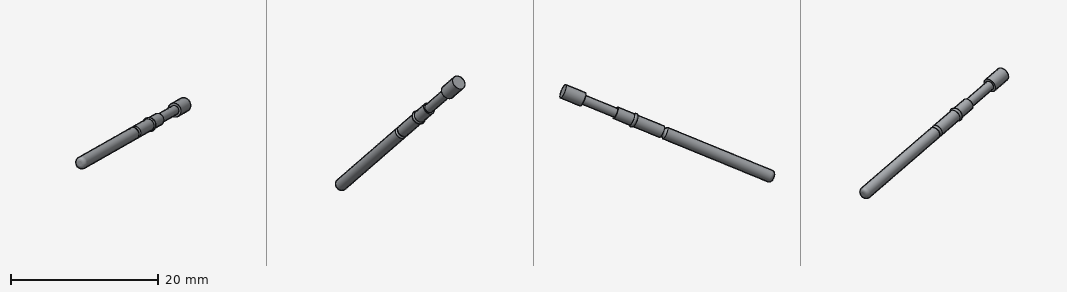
import cadquery as cq


total_length = 32.0
head_end = total_length / 2
tail_end = -total_length / 2

head_diameter = 2.0
head_length = 3.0
plunger_diameter = 1.3
plunger_length = 5.0

barrel_diameter = 1.7
barrel_end = head_end - head_length - plunger_length
tail_radius = 0.48

ring_diameter = head_diameter
ring_width = 0.5
ring_center = barrel_end - 2.75

groove_width = 0.5
groove_depth = 0.2
groove_center = ring_center - 4.55


def cylinder(diameter, start, end):
    """Solid cylinder on the Y axis between two Y positions."""
    base = cq.Workplane("XZ", origin=(0, end, 0))
    return base.circle(diameter / 2).extrude(end - start)


def arc_ring(center, width, peak_radius):
    """Ring at the barrel surface, between that surface and an arc reaching peak_radius."""
    rim_radius = barrel_diameter / 2
    profile = (
        cq.Workplane("XY")
        .moveTo(rim_radius, center - width / 2)
        .threePointArc((peak_radius, center), (rim_radius, center + width / 2))
        .close()
    )
    return profile.revolve(360, (0, 0, 0), (0, 1, 0))


head = cylinder(head_diameter, head_end - head_length, head_end)
plunger = cylinder(plunger_diameter, barrel_end, head_end - head_length)
barrel = cylinder(barrel_diameter, tail_end, barrel_end).faces("<Y").edges().fillet(tail_radius)
press_ring = arc_ring(ring_center, ring_width, ring_diameter / 2)
crimp_groove = arc_ring(groove_center, groove_width, barrel_diameter / 2 - groove_depth)

result = barrel.cut(crimp_groove).union(press_ring).union(plunger).union(head)